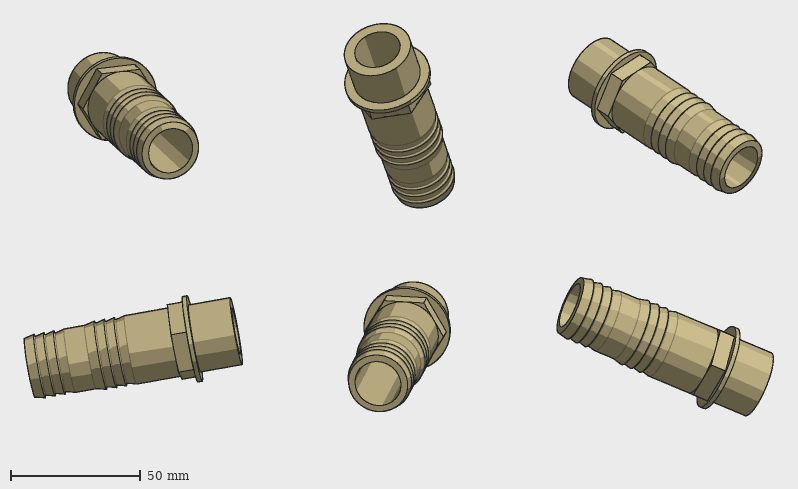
import cadquery as cq
import math

total_length = 81.5
bore_diameter = 18.0

spigot_diameter = 26.4
flange_diameter = 33.7
flange_start = 16.3
flange_end = 18.1

hex_end = 24.2
large_tail_diameter = 27.0
hex_corner_diameter = large_tail_diameter / math.cos(math.pi / 6)

small_tail_diameter = 25.0
barb_count = 3
barb_pitch = 3.9
groove_fillet = 0.6
barb_drop = 0.9
large_barbs_start = 41.6
large_barbs_end = 57.3
small_barbs_start = 65.45
end_cone_length = 0.25


def add_barbs(profile, start, end, crest_radius, end_radius):
    """Add tapers that each end in a rounded groove under a square-backed crest."""
    valley_radius = crest_radius - barb_drop
    arc_offset = groove_fillet * math.sin(math.pi / 4)
    profile = profile.lineTo(start, crest_radius)
    for barbs_left in range(barb_count, 0, -1):
        crest = end - barbs_left * barb_pitch
        arc_start = crest - groove_fillet
        arc_top = valley_radius + groove_fillet
        arc_middle = (arc_start + arc_offset, arc_top - arc_offset)
        profile = (
            profile.lineTo(arc_start, valley_radius)
            .threePointArc(arc_middle, (crest, arc_top))
            .lineTo(crest, crest_radius)
        )
    return profile.lineTo(end, end_radius)


def make_revolved_body():
    """Spigot, flange and hose tail turned about the X axis."""
    bore_radius = bore_diameter / 2
    spigot_radius = spigot_diameter / 2
    flange_radius = flange_diameter / 2
    large_radius = large_tail_diameter / 2
    small_radius = small_tail_diameter / 2
    profile = (
        cq.Workplane("XY")
        .moveTo(0, bore_radius)
        .lineTo(0, spigot_radius)
        .lineTo(flange_start, spigot_radius)
        .lineTo(flange_start, flange_radius)
        .lineTo(flange_end, flange_radius)
        .lineTo(flange_end, large_radius)
    )
    profile = add_barbs(profile, large_barbs_start, large_barbs_end, large_radius, small_radius)
    small_barbs_end = total_length - end_cone_length
    tip_radius = small_radius - barb_drop
    profile = add_barbs(profile, small_barbs_start, small_barbs_end, small_radius, tip_radius)
    profile = profile.lineTo(total_length, bore_radius).close()
    return profile.revolve(360, (0, 0, 0), (1, 0, 0))


def make_hexagon():
    """Spanner hexagon with corners on the Y axis, hollowed to the bore."""
    return (
        cq.Workplane("YZ")
        .workplane(offset=flange_end)
        .polygon(6, hex_corner_diameter)
        .circle(bore_diameter / 2)
        .extrude(hex_end - flange_end)
    )


result = make_revolved_body().union(make_hexagon())